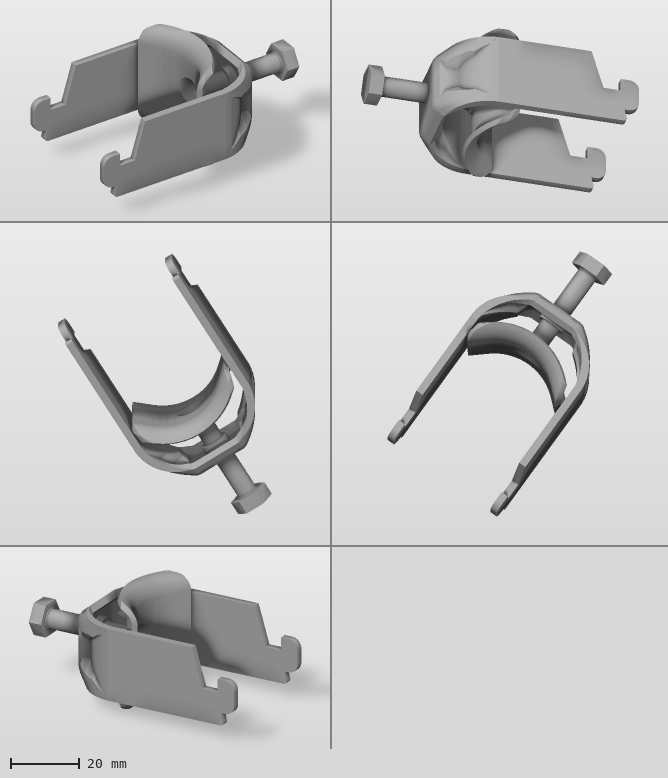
import cadquery as cq
import math

bolt_top = 77.0
head_height = 4.1
head_across_flats = 10.0
shank_radius = 3.0
neck_fillet = 0.4

sheet = 2.2
arm_x = 19.5
strap_top = 9.9
strap_bottom = -12.6
strap_mid = (strap_top + strap_bottom) / 2
strap_half = (strap_top - strap_bottom) / 2
crest_y = 59.05
crest_half = 7.1
crest_taper = 0.2
corner_run = 1.7
corner_drop = 0.55
corner_bulge = (0.6, 0.3)
shoulder_mid = (13.85, 54.2)
shoulder_foot_y = 42.6
shoulder_follow = 0.4

lip_start = 6.9
lip_angle = math.radians(50)
lip_radius = 3.55
lip_rise = lip_radius * math.sin(lip_angle)
lip_length = (strap_half - lip_start - lip_rise) / math.cos(lip_angle)

valley_bend = 3.85
valley_wall_angle = math.radians(71)
valley_x = 11.85
valley_y = 52.7
valley_fillet = 3.1
valley_floor_mid = (15.9, 49.0)
valley_floor_end = (18.95, 44.65)
valley_start_x = 10.0
valley_sides = [
    (crest_half, crest_y, 6.9, 0.8),
    (10.8, 56.05, 3.7, 1.2),
    (valley_x, valley_y, 2.6, 1.1),
    (*valley_floor_mid, 5.55, 0.7),
    (*valley_floor_end, 8.85, 0.5),
    (arm_x, shoulder_foot_y, strap_half, 0.9),
]

collar_radius = 4.15
collar_end_y = 54.3

ramp_top_y = 14.3
ramp_foot_y = 10.7
notch_floor_z = -2.2
hook_back_y = 5.55
hook_top_z = 1.8
hook_bottom_z = -8.7
hook_radius = 3.0
undercut_y = 4.4
toe_y = 3.7
toe_radius = 1.0

saddle_sheet = 1.6
saddle_y = 42.9
saddle_radius = 16.8
saddle_angle = 41.0
saddle_leg = 6.1
saddle_half = 16.9
flare_radius = 6.15
saddle_end_x = 16.8
trim_radius = 4.2
hub_radius = collar_radius
flat_half = 11.25
seat_radius = 4.3
seat_bottom_radius = 1.55

over = 3.85
hub_top_y = saddle_y + seat_radius - seat_bottom_radius


def cylinder_y(radius, y_from, y_to):
    """Cylinder along Y on the bolt axis."""
    return cq.Workplane("XZ", origin=(0, y_from, 0)).circle(radius).extrude(y_from - y_to)


def make_bolt():
    head_bottom = bolt_top - head_height
    across_corners = head_across_flats / math.cos(math.pi / 6)
    head = (
        cq.Workplane("XZ", origin=(0, bolt_top, 0))
        .polygon(6, across_corners)
        .extrude(head_height)
    )
    shank = cylinder_y(shank_radius, hub_top_y, head_bottom)
    neck = (
        cq.Workplane("XY")
        .moveTo(0, head_bottom)
        .lineTo(shank_radius + neck_fillet, head_bottom)
        .radiusArc((shank_radius, head_bottom - neck_fillet), neck_fillet)
        .lineTo(0, head_bottom - neck_fillet)
        .close()
        .revolve(360, (0, 0, 0), (0, 1, 0))
    )
    return head.union(shank).union(neck)


def arch_section(height, drop, inset):
    """Closed XY outline of the strap's outer (inset 0) or inner (inset = sheet) face at one height."""
    top = crest_y - drop - inset
    diagonal = inset / math.sqrt(2)
    half = crest_half - crest_taper * inset
    corner = (half + corner_run, top - corner_drop)
    bulge = (half + corner_bulge[0] * corner_run, top - corner_bulge[1] * corner_drop)
    middle = (shoulder_mid[0] - diagonal, shoulder_mid[1] - diagonal - shoulder_follow * drop)
    side = arm_x - inset
    foot_y = -inset
    return (
        cq.Workplane("XY", origin=(0, 0, strap_mid + height))
        .moveTo(-half, top)
        .lineTo(half, top)
        .threePointArc(bulge, corner)
        .threePointArc(middle, (side, shoulder_foot_y))
        .lineTo(side, foot_y)
        .lineTo(-side, foot_y)
        .lineTo(-side, shoulder_foot_y)
        .threePointArc((-middle[0], middle[1]), (-corner[0], corner[1]))
        .threePointArc((-bulge[0], bulge[1]), (-half, top))
        .close()
        .wires()
        .val()
    )


def lip_profile(inset):
    """Heights above the strap's middle and drops below the crest, along the bend and at the edge."""
    radius = lip_radius - inset
    bend = [
        (lip_start + radius * math.sin(angle), radius * (1 - math.cos(angle)))
        for angle in (0, lip_angle / 2, lip_angle)
    ]
    end_height, end_drop = bend[-1]
    edge = (end_height + lip_length * math.cos(lip_angle), end_drop + lip_length * math.sin(lip_angle))
    return bend, edge


def arch_block(inset):
    """Solid inside the outer (inset 0) or inner (inset = sheet) face of the strap, without the valleys."""
    bend, edge = lip_profile(inset)
    bend_sections = [arch_section(height, drop, inset) for height, drop in bend]
    edge_section = arch_section(*edge, inset)
    pieces = [
        cq.Solid.extrudeLinear(bend_sections[0], [], cq.Vector(0, 0, -lip_start)),
        cq.Solid.makeLoft(bend_sections),
        cq.Solid.makeLoft([bend_sections[-1], edge_section], True),
    ]
    if inset:
        outer_height, outer_drop = lip_profile(0)[1]
        flared_section = arch_section(outer_height, outer_drop - inset, inset)
        pieces.append(cq.Solid.makeLoft([edge_section, flared_section], True))
    half_block = cq.Workplane("XY")
    for piece in pieces:
        half_block = half_block.union(cq.Workplane(piece))
    return half_block.union(half_block.mirror("XY", (0, 0, strap_mid)))


def valley_floor(inset):
    """Prism under the face of the narrow middle of one shoulder; it limits the valley's depth."""
    bend_end = (
        crest_half + valley_bend * math.sin(valley_wall_angle),
        crest_y - valley_bend * (1 - math.cos(valley_wall_angle)),
    )
    bend_middle = (
        crest_half + valley_bend * math.sin(valley_wall_angle / 2),
        crest_y - valley_bend * (1 - math.cos(valley_wall_angle / 2)),
    )
    outline = (
        cq.Workplane("XY", origin=(0, 0, strap_mid - strap_half - over))
        .moveTo(0, crest_y)
        .lineTo(crest_half, crest_y)
        .threePointArc(bend_middle, bend_end)
        .lineTo(valley_x, valley_y)
        .threePointArc(valley_floor_mid, valley_floor_end)
        .lineTo(arm_x, shoulder_foot_y)
        .lineTo(arm_x, -over)
        .lineTo(0, -over)
        .close()
    )
    if inset:
        return outline.offset2D(-inset, "intersection").extrude(2 * (strap_half + over))
    deepest_edge = cq.selectors.NearestToPointSelector((valley_x, valley_y, strap_mid))
    return outline.extrude(2 * (strap_half + over)).edges(deepest_edge).fillet(valley_fillet)


def valley_tool(inset):
    """Hourglass-shaped body with sloping sides that presses one valley down to its floor."""

    def hourglass(x):
        half_widths = [
            (y, half + inset + widening * (x - floor_x)) for floor_x, y, half, widening in valley_sides
        ]
        outline = [(y, -half) for y, half in half_widths]
        outline += [(y, half) for y, half in reversed(half_widths)]
        return cq.Wire.makePolygon([cq.Vector(x, y, strap_mid + z) for y, z in outline], close=True)

    body = cq.Solid.makeLoft([hourglass(x) for x in (valley_start_x - inset / 2, arm_x + over)], True)
    return cq.Workplane(body).cut(valley_floor(inset))


def strap_block(inset):
    """Solid inside the outer or inner face of the strap, with both valleys pressed in."""
    tool = valley_tool(inset)
    return arch_block(inset).cut(tool).cut(tool.mirror("YZ"))


def arm_outline():
    """Side outline of the bracket with the ramp, notch, hook and toe at the end of an arm."""
    width = 2 * (arm_x + over)
    outline = (
        cq.Workplane("YZ", origin=(-width / 2, 0, 0))
        .moveTo(bolt_top, strap_bottom)
        .lineTo(bolt_top, strap_top)
        .lineTo(ramp_top_y, strap_top)
        .lineTo(ramp_foot_y, notch_floor_z)
        .lineTo(hook_back_y, notch_floor_z)
        .lineTo(hook_back_y, hook_top_z)
        .lineTo(hook_radius, hook_top_z)
        .radiusArc((0, hook_top_z - hook_radius), -hook_radius)
        .lineTo(0, hook_bottom_z + hook_radius)
        .radiusArc((hook_radius, hook_bottom_z), -hook_radius)
        .lineTo(undercut_y, hook_bottom_z)
        .lineTo(toe_y, strap_bottom + toe_radius)
        .radiusArc((toe_y + toe_radius, strap_bottom), -toe_radius)
        .close()
    )
    return outline.extrude(width)


def make_bracket():
    collar = cylinder_y(collar_radius, collar_end_y, crest_y - sheet / 2)
    bracket = strap_block(0).cut(strap_block(sheet)).intersect(arm_outline())
    return bracket.union(collar).cut(cylinder_y(shank_radius, collar_end_y - over, bolt_top))


def saddle_section(section_plane):
    """Cross-section of the saddle: a flat middle and two flared rims, x outwards from the arch axis."""
    flare_angle = math.asin((saddle_half - flat_half) / flare_radius)

    def flare_point(radius, angle, side):
        out = saddle_radius + flare_radius - radius * math.cos(angle)
        return (out, side * (flat_half + radius * math.sin(angle)))

    back_radius = flare_radius - saddle_sheet
    half_angle = flare_angle / 2
    return (
        section_plane
        .moveTo(*flare_point(flare_radius, 0, -1))
        .lineTo(*flare_point(flare_radius, 0, 1))
        .threePointArc(flare_point(flare_radius, half_angle, 1), flare_point(flare_radius, flare_angle, 1))
        .lineTo(*flare_point(back_radius, flare_angle, 1))
        .threePointArc(flare_point(back_radius, half_angle, 1), flare_point(back_radius, 0, 1))
        .lineTo(*flare_point(back_radius, 0, -1))
        .threePointArc(flare_point(back_radius, half_angle, -1), flare_point(back_radius, flare_angle, -1))
        .lineTo(*flare_point(flare_radius, flare_angle, -1))
        .threePointArc(flare_point(flare_radius, half_angle, -1), flare_point(flare_radius, 0, -1))
        .close()
    )


def saddle_end_directions():
    """Directions out of the arch and along the leg at the +X end of the arch."""
    start = math.radians(90 - saddle_angle)
    radial = cq.Vector(math.cos(start), math.sin(start), 0)
    return radial, radial.cross(cq.Vector(0, 0, 1))


def saddle_arch():
    """Arch about the Z axis, from the +X side round to the -X side."""
    radial, along = saddle_end_directions()
    section_plane = cq.Workplane(cq.Plane((0, 0, 0), radial, along))
    return saddle_section(section_plane).revolve(2 * saddle_angle, (0, 0, 0), (0, 1, 0))


def saddle_leg_body():
    """Straight leg that carries on from the +X end of the arch, with rounded corners."""
    radial, along = saddle_end_directions()
    leg = saddle_section(cq.Workplane(cq.Plane((0, 0, 0), radial, along))).extrude(saddle_leg)
    rounded = (
        cq.Workplane(cq.Plane((0, 0, 0), along, radial))
        .rect(2 * saddle_leg, 2 * saddle_half)
        .extrude(2 * saddle_radius)
        .edges(cq.selectors.ParallelDirSelector(radial))
        .fillet(saddle_half - flat_half)
    )
    return leg.intersect(rounded)


def make_saddle():
    leg = saddle_leg_body()
    plate = saddle_arch().union(leg).union(leg.mirror("YZ"))
    plate = plate.translate((0, saddle_y - saddle_radius, 0))
    trim = (
        cq.Workplane("XZ", origin=(0, bolt_top, 0))
        .rect(2 * saddle_end_x, 2 * saddle_half)
        .extrude(bolt_top)
        .edges("|Y")
        .fillet(trim_radius)
    )
    plate = plate.intersect(trim)
    hub = cylinder_y(hub_radius, saddle_y + saddle_sheet / 2, hub_top_y)
    seat = (
        cq.Workplane("XY")
        .moveTo(0, hub_top_y)
        .lineTo(seat_bottom_radius, hub_top_y)
        .lineTo(seat_bottom_radius + over, hub_top_y - over)
        .lineTo(0, hub_top_y - over)
        .close()
        .revolve(360, (0, 0, 0), (0, 1, 0))
    )
    return plate.union(hub).cut(seat)


bolt = make_bolt()
bracket = make_bracket()
saddle = make_saddle()
result = cq.Compound.makeCompound([bolt.solids().val(), bracket.solids().val(), saddle.solids().val()])